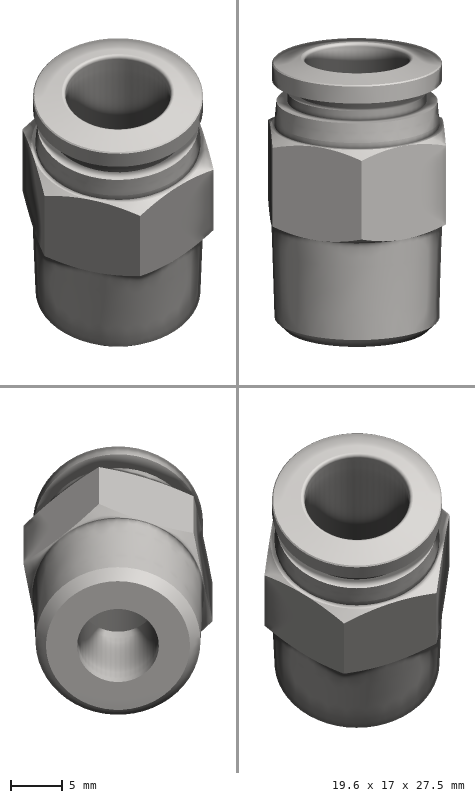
import cadquery as cq
import math

total_height = 27.45
thread_length = 11.0
hex_height = 9.55
lead_in_top = 1.0
hex_top = thread_length + hex_height
shoulder_cone_base = 21.1
shoulder_top = 23.05
step_top = 24.0
neck_top = 25.2
collar_rim_height = 27.05

thread_tip_diameter = 16.16
lead_in_diameter = 14.1
thread_taper = 1 / 16
thread_base_diameter = thread_tip_diameter + thread_taper * (thread_length - lead_in_top)

across_flats = 17.0
hex_sides = 6
across_corners = across_flats / math.cos(math.pi / hex_sides)
hex_chamfer_angle = 30

shoulder_base_diameter = 16.15
shoulder_top_diameter = 15.8
step_diameter = 13.6
neck_diameter = 11.9
collar_diameter = 16.65
collar_edge_break = 0.12

flow_bore_diameter = 8.0
tube_bore_diameter = 10.3
tube_stop_height = thread_length
mouth_radius = 0.35


def revolve_about_z(profile):
    """Turn (radius, height) points into a solid of revolution about Z."""
    return cq.Workplane("XZ").polyline(profile).close().revolve(360, (0, 0), (0, 1))


def threaded_end():
    return revolve_about_z([
        (0, 0),
        (lead_in_diameter / 2, 0),
        (thread_tip_diameter / 2, lead_in_top),
        (thread_base_diameter / 2, thread_length),
        (0, thread_length),
    ])


def chamfered_hexagon():
    """Hexagonal prism with conical chamfers starting at the across-flats circle."""
    prism = (
        cq.Workplane("XY")
        .workplane(offset=thread_length)
        .polygon(hex_sides, across_corners)
        .extrude(hex_height)
    )
    flat_radius = across_flats / 2
    envelope_radius = across_corners / 2
    chamfer_drop = (envelope_radius - flat_radius) * math.tan(math.radians(hex_chamfer_angle))
    envelope = revolve_about_z([
        (0, thread_length),
        (flat_radius, thread_length),
        (envelope_radius, thread_length + chamfer_drop),
        (envelope_radius, hex_top - chamfer_drop),
        (flat_radius, hex_top),
        (0, hex_top),
    ])
    return prism.intersect(envelope)


def collar_end():
    """Shoulder, step, neck and release collar with a slightly conical top."""
    collar_radius = collar_diameter / 2
    mouth_edge_radius = tube_bore_diameter / 2 + mouth_radius
    return revolve_about_z([
        (0, hex_top),
        (shoulder_base_diameter / 2, hex_top),
        (shoulder_base_diameter / 2, shoulder_cone_base),
        (shoulder_top_diameter / 2, shoulder_top),
        (step_diameter / 2, shoulder_top),
        (step_diameter / 2, step_top),
        (neck_diameter / 2, step_top),
        (neck_diameter / 2, neck_top),
        (collar_radius, neck_top),
        (collar_radius, collar_rim_height - collar_edge_break),
        (collar_radius - collar_edge_break, collar_rim_height),
        (mouth_edge_radius, total_height),
        (0, total_height),
    ])


def stepped_bore():
    """Through bore, wider tube bore above it and a rounded mouth."""
    flow_radius = flow_bore_diameter / 2
    tube_radius = tube_bore_diameter / 2
    mouth_edge_radius = tube_radius + mouth_radius
    arc_offset = mouth_radius * (1 - math.sqrt(0.5))
    return (
        cq.Workplane("XZ")
        .moveTo(0, 0)
        .lineTo(flow_radius, 0)
        .lineTo(flow_radius, tube_stop_height)
        .lineTo(tube_radius, tube_stop_height)
        .lineTo(tube_radius, total_height - mouth_radius)
        .threePointArc(
            (tube_radius + arc_offset, total_height - arc_offset),
            (mouth_edge_radius, total_height),
        )
        .lineTo(0, total_height)
        .close()
        .revolve(360, (0, 0), (0, 1))
    )


body = threaded_end().union(chamfered_hexagon()).union(collar_end())
result = body.cut(stepped_bore())